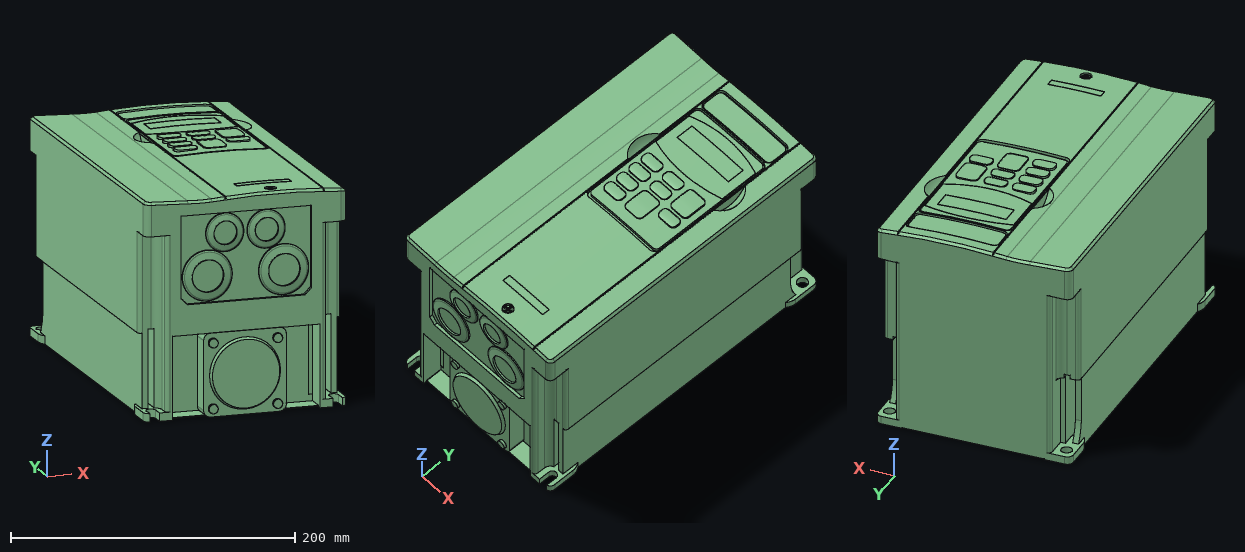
import cadquery as cq
import math

WIDTH = 150.0
LENGTH = 260.0
HALF_X = WIDTH / 2
HALF_Y = LENGTH / 2
TOLERANCE = 0.3

FOOT_TOP = 6.2
SKIRT_BOTTOM = 61.0
GAP_TOP = 63.7
COVER_BOTTOM = 134.7

NOTCH_X = 15.3
NOTCH_Y = 15.0
NOTCH_EDGE_RADIUS = 2.9
NOTCH_ROOT_RADIUS = 6.0

PANEL_INSET = 2.5
PANEL_OUTER_X = HALF_X - PANEL_INSET
PANEL_INNER_X = 68.0
CORE_HALF_X = 63.5
CORE_REAR_Y = 113.0
PANEL_REAR_Y = 105.3
PANEL_CURVE_TOP = 22.5
PANEL_CURVE_RUN = 5.0
PANEL_CURVE_MID_RUN = 1.5

FOOT_INNER_X = 54.5
FOOT_LENGTH = 29.7
FOOT_CORNER_RADIUS = 4.7
FOOT_END_CURVE = 7.3
UNDERSIDE_RELIEF = 0.5
MOUNT_X = 68.0
MOUNT_Y = 121.0
MOUNT_DIAMETER = 8.3
MOUNT_SLOT_WIDTH = 7.0

CROWN_X = 22.0
CROWN_Z = 160.5
CROWN_RADIUS = 533.2
VALLEY_LEFT_X = -43.2
VALLEY_RIGHT_X = -25.5
VALLEY_LEFT_Z = 158.5
VALLEY_SAG = 0.3
LEFT_EDGE_Z = 159.7
COVER_CORNER_RADIUS = 4.7
COVER_EDGE_CHAMFER = 1.8

STRIP_LEFT_X = -15.0
STRIP_RIGHT_X = 57.7
STRIP_X = (STRIP_LEFT_X + STRIP_RIGHT_X) / 2
STRIP_WIDTH = STRIP_RIGHT_X - STRIP_LEFT_X
GROOVE_WIDTH = 0.8
GROOVE_DEPTH = 1.3

POCKET_SIDE_GAP = 0.8
POCKET_WIDTH = STRIP_WIDTH - 2 * POCKET_SIDE_GAP
POCKET_DEPTH = 2.5
POCKET_RADIUS = 4.7
INSERT_SIDE_GAP = 1.0
LABEL_Y = (98.5, 120.0)
LABEL_INSERT_Y = (99.5, 118.3)
LABEL_DROP = 0.8
KEYPAD_Y = (-12.2, 97.5)
KEYPAD_INSERT_Y = (-9.4, 96.2)
KEYPAD_DROP = 0.3

LENS_WIDTH = 68.1
LENS_END_Y = (55.1, 87.5)
LENS_BULGE = 5.5
LENS_DEPTH = 0.3
DISPLAY_X = (-5.0, 47.5)
DISPLAY_Y = (68.5, 82.7)
DISPLAY_DEPTH = 0.5

KEY_TOP = 161.3
KEY_ARCH = 0.5
KEY_WIDTH = 17.0
KEY_HEIGHT = 9.4
KEY_RADIUS = 3.6
KEY_COLUMN_X = (-0.5, 21.0, 42.7)
KEY_TOP_ROW_Y = 40.0
KEY_PITCH = 12.0
KEYS = [(0, 0, 0), (0, 1, 1), (0, 2, 2), (0, 3, 3),
        (1, 0, 0), (1, 1, 1), (1, 2, 3),
        (2, 0, 1), (2, 2, 2)]

SCOOP_RADIUS = 18.7
SCOOP_RISE = 5.2
SCOOP_LEFT = (-5.7, 46.0)
SCOOP_RIGHT = (48.0, 59.3)

PLATE_Y = -102.5
PLATE_SIZE = (40.5, 6.2)
PLATE_DEPTH = 0.3
SCREW_Y = -120.0
SCREW_HOLE_RADIUS = 4.2
SCREW_HEAD_RADIUS = 2.9
SCREW_DEPTH = 1.5
SCREW_HEAD_DROP = 0.5
SCREW_SLOT = (4.2, 1.0)
SCREW_SLOT_DEPTH = 1.0

GLAND_PLATE_WIDTH = 96.8
GLAND_PLATE_Z = (83.2, 148.0)
GLAND_PLATE_CHAMFER = 5.0
GLAND_PLATE_DEPTH = 2.5
GLAND_RIM_HEIGHT = 1.0
GLAND_SHOULDER_HEIGHT = 1.5
GLANDS = [(-28.4, 102.7, 18.5, 17.2, 11.7), (28.4, 102.7, 18.5, 17.2, 11.7),
          (-15.3, 133.2, 14.0, 13.0, 8.5), (15.3, 133.2, 14.0, 13.0, 8.5)]

BAY_HALF_X = 54.5
BAY_FLOOR = 1.3
BAY_DEPTH = 16.6
RAIL_WIDTH = 2.9
RAIL_THICKNESS = 0.3
FAN_SIZE = 61.5
FAN_Z = 30.0
FAN_SETBACK = 2.9
FAN_CORNER_RADIUS = 5.2
HUB_Z = 29.5
HUB_RADIUS = 26.3
HUB_FACE_RADIUS = 25.0
HUB_HEIGHT = 2.3
BOSS_RADIUS = 3.5
BOSS_HEIGHT = 2.0
BOSS_OFFSET = 24.0


def block(x, y, z):
    """Box from three (low, high) ranges."""
    size = (x[1] - x[0], y[1] - y[0], z[1] - z[0])
    return cq.Workplane("XY").box(*size, centered=False).translate((x[0], y[0], z[0]))


def both_sides(shape):
    """The shape together with its mirror image across the YZ plane."""
    return shape.union(shape.mirror("YZ"))


def column(x, y, width, height, corner_radius=0.0):
    """Upright rectangular prism from the cover's underside up to the key tops."""
    base = cq.Workplane("XY", origin=(x, y, COVER_BOTTOM))
    prism = base.rect(width, height).extrude(KEY_TOP - COVER_BOTTOM)
    if corner_radius:
        prism = prism.edges("|Z").fillet(corner_radius)
    return prism


def front_plane(x, y, z):
    """Workplane at a point, facing the front (-Y)."""
    return cq.Workplane("XZ", origin=(x, y, z))


def at_notch_root(edge):
    """True for the upright edge in the inner corner of a notch."""
    middle = edge.Center()
    off_x = abs(middle.x) - (HALF_X - NOTCH_X)
    off_y = abs(middle.y) - (HALF_Y - NOTCH_Y)
    return math.hypot(off_x, off_y) < TOLERANCE


def housing():
    """Full-height body with an S-shaped notch down each corner."""
    wide = cq.Workplane("XY").box(WIDTH, LENGTH - 2 * NOTCH_Y, COVER_BOTTOM, centered=(True, True, False))
    deep = cq.Workplane("XY").box(WIDTH - 2 * NOTCH_X, LENGTH, COVER_BOTTOM, centered=(True, True, False))
    wide = wide.edges("|Z").fillet(NOTCH_EDGE_RADIUS)
    deep = deep.edges("|Z").fillet(NOTCH_EDGE_RADIUS)
    return wide.union(deep).edges("|Z").filter(at_notch_root).fillet(NOTCH_ROOT_RADIUS)


def panel_cutaway():
    """Material removed on the right below the housing, leaving the thin side panel and the core."""
    skirt = block((PANEL_OUTER_X, HALF_X), (-HALF_Y, HALF_Y), (0, SKIRT_BOTTOM))
    gap = block((CORE_HALF_X, PANEL_INNER_X), (-HALF_Y, HALF_Y), (0, GAP_TOP))
    rear_corner = block((HALF_X - NOTCH_X, HALF_X), (CORE_REAR_Y, HALF_Y - NOTCH_EDGE_RADIUS),
                        (0, SKIRT_BOTTOM))
    curve_foot_y = PANEL_REAR_Y + PANEL_CURVE_RUN
    curve_mid = (PANEL_REAR_Y + PANEL_CURVE_MID_RUN, (PANEL_CURVE_TOP + FOOT_TOP) / 2)
    panel_rear = (
        cq.Workplane("YZ", origin=(PANEL_INNER_X, 0, 0))
        .moveTo(PANEL_REAR_Y, SKIRT_BOTTOM)
        .lineTo(PANEL_REAR_Y, PANEL_CURVE_TOP)
        .threePointArc(curve_mid, (curve_foot_y, FOOT_TOP))
        .lineTo(curve_foot_y, 0)
        .lineTo(HALF_Y, 0)
        .lineTo(HALF_Y, SKIRT_BOTTOM)
        .close()
        .extrude(HALF_X - PANEL_INNER_X)
    )
    return skirt.union(gap).union(rear_corner).union(panel_rear)


def foot(rear):
    """Right-hand mounting foot: slotted at the front, drilled at the rear."""
    end = 1 if rear else -1
    tip_y = HALF_Y - FOOT_LENGTH
    curve_y = tip_y + FOOT_END_CURVE
    curve_mid = (HALF_X - PANEL_INSET / 4, end * (tip_y + FOOT_END_CURVE / 2))
    plate = (
        cq.Workplane("XY")
        .moveTo(FOOT_INNER_X, end * HALF_Y)
        .lineTo(HALF_X, end * HALF_Y)
        .lineTo(HALF_X, end * curve_y)
        .threePointArc(curve_mid, (PANEL_OUTER_X, end * tip_y))
        .lineTo(FOOT_INNER_X, end * tip_y)
        .close()
        .extrude(FOOT_TOP)
    )
    outer_corner = cq.selectors.NearestToPointSelector((HALF_X, end * HALF_Y, FOOT_TOP / 2))
    plate = plate.edges("|Z").edges(outer_corner).fillet(FOOT_CORNER_RADIUS)
    diameter = MOUNT_DIAMETER if rear else MOUNT_SLOT_WIDTH
    hole = cq.Workplane("XY").center(MOUNT_X, end * MOUNT_Y).circle(diameter / 2).extrude(FOOT_TOP)
    if not rear:
        half_slot = MOUNT_SLOT_WIDTH / 2
        slot = block((MOUNT_X - half_slot, MOUNT_X + half_slot), (-HALF_Y, -MOUNT_Y), (0, FOOT_TOP))
        hole = hole.union(slot)
    return plate, hole


def crown_height(x):
    """Height of the arched part of the cover at x."""
    return CROWN_Z - CROWN_RADIUS + math.sqrt(CROWN_RADIUS ** 2 - (x - CROWN_X) ** 2)


def crown_solid(drop=0.0):
    """Solid under the cover's crown, lowered by drop."""
    valley_x = (VALLEY_LEFT_X + VALLEY_RIGHT_X) / 2
    valley_right_z = crown_height(VALLEY_RIGHT_X)
    valley_z = (VALLEY_LEFT_Z + valley_right_z) / 2 - VALLEY_SAG
    return (
        cq.Workplane("XZ", origin=(0, HALF_Y, -drop))
        .moveTo(-HALF_X, COVER_BOTTOM)
        .lineTo(-HALF_X, LEFT_EDGE_Z)
        .lineTo(VALLEY_LEFT_X, VALLEY_LEFT_Z)
        .threePointArc((valley_x, valley_z), (VALLEY_RIGHT_X, valley_right_z))
        .threePointArc((CROWN_X, CROWN_Z), (HALF_X, crown_height(HALF_X)))
        .lineTo(HALF_X, COVER_BOTTOM)
        .close()
        .extrude(LENGTH)
    )


def on_top_rim(edge):
    """True for an edge on the outer boundary of the crown."""
    middle = edge.Center()
    at_side = abs(middle.x) > HALF_X - COVER_CORNER_RADIUS
    at_end = abs(middle.y) > HALF_Y - COVER_CORNER_RADIUS
    near_top = middle.z > VALLEY_LEFT_Z - COVER_EDGE_CHAMFER
    return near_top and (at_side or at_end)


def cover():
    """Cover block with rounded corners, a chamfered top rim and two long grooves."""
    body = crown_solid().edges("|Z").fillet(COVER_CORNER_RADIUS)
    body = body.edges().filter(on_top_rim).chamfer(COVER_EDGE_CHAMFER)
    groove_shell = crown_solid().cut(crown_solid(GROOVE_DEPTH))
    for x in (STRIP_LEFT_X, STRIP_RIGHT_X):
        strip = column(x, 0, GROOVE_WIDTH, LENGTH)
        body = body.cut(groove_shell.intersect(strip))
    return body


def strip_outline(y_range, inset):
    """Rounded prism across the central strip, its sides drawn in by inset."""
    low, high = y_range
    return column(STRIP_X, (low + high) / 2, POCKET_WIDTH - 2 * inset, high - low, POCKET_RADIUS - inset)


def panel_pocket(pocket_y, insert_y, drop):
    """Pocket in the cover strip and the insert standing in it, lowered by drop."""
    pocket = strip_outline(pocket_y, 0).cut(crown_solid(POCKET_DEPTH))
    insert = strip_outline(insert_y, INSERT_SIDE_GAP).intersect(crown_solid(drop))
    return pocket, insert


def screen():
    """Shallow cut for the lens with arched ends and a deeper one for the display."""
    low, high = LENS_END_Y
    left = STRIP_X - LENS_WIDTH / 2
    right = STRIP_X + LENS_WIDTH / 2
    lens = (
        cq.Workplane("XY", origin=(0, 0, COVER_BOTTOM))
        .moveTo(left, high)
        .threePointArc((STRIP_X, high + LENS_BULGE), (right, high))
        .lineTo(right, low)
        .threePointArc((STRIP_X, low - LENS_BULGE), (left, low))
        .close()
        .extrude(KEY_TOP - COVER_BOTTOM)
        .cut(crown_solid(KEYPAD_DROP + LENS_DEPTH))
    )
    display = block(DISPLAY_X, DISPLAY_Y, (COVER_BOTTOM, KEY_TOP))
    return lens.union(display.cut(crown_solid(KEYPAD_DROP + DISPLAY_DEPTH)))


def keys():
    """Keys standing on the keypad, each with a top gently arched from front to back."""
    pads = cq.Workplane("XY")
    for column_index, first_row, last_row in KEYS:
        height = KEY_HEIGHT + (last_row - first_row) * KEY_PITCH
        y = KEY_TOP_ROW_Y - KEY_PITCH * (first_row + last_row) / 2
        pad = column(KEY_COLUMN_X[column_index], y, KEY_WIDTH, height, KEY_RADIUS)
        arch_radius = ((height / 2) ** 2 + KEY_ARCH ** 2) / (2 * KEY_ARCH)
        arch = (
            cq.Workplane("YZ", origin=(-HALF_X, y, KEY_TOP - arch_radius))
            .circle(arch_radius)
            .extrude(WIDTH)
        )
        pads = pads.union(pad.intersect(arch))
    return pads


def scoop(center, x_range):
    """Spherical finger scoop, kept to one side of the central strip."""
    x, y = center
    sphere_radius = math.hypot(SCOOP_RADIUS, SCOOP_RISE)
    ball = cq.Workplane("XY").sphere(sphere_radius).translate((x, y, CROWN_Z + SCOOP_RISE))
    return ball.intersect(block(x_range, (-HALF_Y, HALF_Y), (COVER_BOTTOM, KEY_TOP)))


def name_plate():
    """Shallow rectangular cut for the name plate."""
    return column(STRIP_X, PLATE_Y, *PLATE_SIZE).cut(crown_solid(PLATE_DEPTH))


def cover_screw():
    """Ring-shaped cut that leaves the screw head standing, and the cross slot in the head."""
    top = cq.Workplane("XY", origin=(STRIP_X, SCREW_Y, CROWN_Z))
    hole = top.circle(SCREW_HOLE_RADIUS).extrude(-SCREW_DEPTH)
    head = top.circle(SCREW_HEAD_RADIUS).extrude(-SCREW_DEPTH)
    head = head.intersect(crown_solid(SCREW_HEAD_DROP))
    slot = top.rect(*SCREW_SLOT).extrude(-SCREW_SLOT_DEPTH)
    cross = slot.union(top.rect(*reversed(SCREW_SLOT)).extrude(-SCREW_SLOT_DEPTH))
    return hole.cut(head).union(cross)


def gland_recess():
    """Recess for the gland plate, with its lower corners cut off."""
    half_width = GLAND_PLATE_WIDTH / 2
    recess = block((-half_width, half_width), (-HALF_Y, -HALF_Y + GLAND_PLATE_DEPTH), GLAND_PLATE_Z)
    return recess.edges("|Y and <Z").chamfer(GLAND_PLATE_CHAMFER)


def gland(x, z, outer_radius, rim_radius, face_radius):
    """Cable gland: round rim, sloping shoulder and a sunken round face."""
    base_y = -HALF_Y + GLAND_PLATE_DEPTH
    profile = (
        cq.Workplane("XY")
        .moveTo(0, 0)
        .lineTo(outer_radius, 0)
        .lineTo(outer_radius, GLAND_RIM_HEIGHT)
        .lineTo(rim_radius, GLAND_SHOULDER_HEIGHT)
        .lineTo(face_radius, GLAND_PLATE_DEPTH)
        .lineTo(face_radius, GLAND_RIM_HEIGHT)
        .lineTo(0, GLAND_RIM_HEIGHT)
        .close()
    )
    turned = profile.revolve(360, (0, 0, 0), (0, 1, 0))
    return turned.rotate((0, 0, 0), (0, 0, 1), 180).translate((x, base_y, z))


def fan_bay():
    """Open bay in the lower front, its thin floor stepped back, with a slim rail up each back corner."""
    back_y = -HALF_Y + BAY_DEPTH
    bay = block((-BAY_HALF_X, BAY_HALF_X), (-HALF_Y, back_y), (BAY_FLOOR, SKIRT_BOTTOM))
    sill = block((-BAY_HALF_X, BAY_HALF_X), (-HALF_Y, -HALF_Y + FAN_SETBACK), (0, BAY_FLOOR))
    rail = block((BAY_HALF_X - RAIL_WIDTH, BAY_HALF_X), (back_y - RAIL_THICKNESS, back_y),
                 (FOOT_TOP, SKIRT_BOTTOM))
    return bay.union(sill).cut(both_sides(rail))


def fan():
    """Square fan body with a tapered round hub and four screw bosses."""
    front_y = -HALF_Y + FAN_SETBACK
    body = front_plane(0, front_y, FAN_Z).rect(FAN_SIZE, FAN_SIZE).extrude(front_y + HALF_Y - BAY_DEPTH)
    body = body.edges("|Y").fillet(FAN_CORNER_RADIUS)
    hub = (
        front_plane(0, front_y, HUB_Z)
        .circle(HUB_RADIUS)
        .workplane(offset=HUB_HEIGHT)
        .circle(HUB_FACE_RADIUS)
        .loft()
    )
    bosses = (
        front_plane(0, front_y, HUB_Z)
        .rect(2 * BOSS_OFFSET, 2 * BOSS_OFFSET, forConstruction=True)
        .vertices()
        .circle(BOSS_RADIUS)
        .extrude(BOSS_HEIGHT)
    )
    return body.union(hub).union(bosses)


result = housing().cut(both_sides(panel_cutaway()))
for at_rear in (False, True):
    plate, hole = foot(at_rear)
    result = result.union(both_sides(plate)).cut(both_sides(hole))
underside = block((-FOOT_INNER_X, FOOT_INNER_X), (-HALF_Y, HALF_Y), (0, UNDERSIDE_RELIEF))
result = result.cut(underside).cut(fan_bay()).union(fan())

result = result.union(cover())
result = result.cut(scoop(SCOOP_LEFT, (-HALF_X, STRIP_LEFT_X)))
result = result.cut(scoop(SCOOP_RIGHT, (STRIP_RIGHT_X, HALF_X)))
for pocket_y, insert_y, drop in ((LABEL_Y, LABEL_INSERT_Y, LABEL_DROP),
                                 (KEYPAD_Y, KEYPAD_INSERT_Y, KEYPAD_DROP)):
    pocket, insert = panel_pocket(pocket_y, insert_y, drop)
    result = result.cut(pocket).union(insert)
result = result.cut(screen()).union(keys())
result = result.cut(name_plate()).cut(cover_screw())

result = result.cut(gland_recess())
for sizes in GLANDS:
    result = result.union(gland(*sizes))